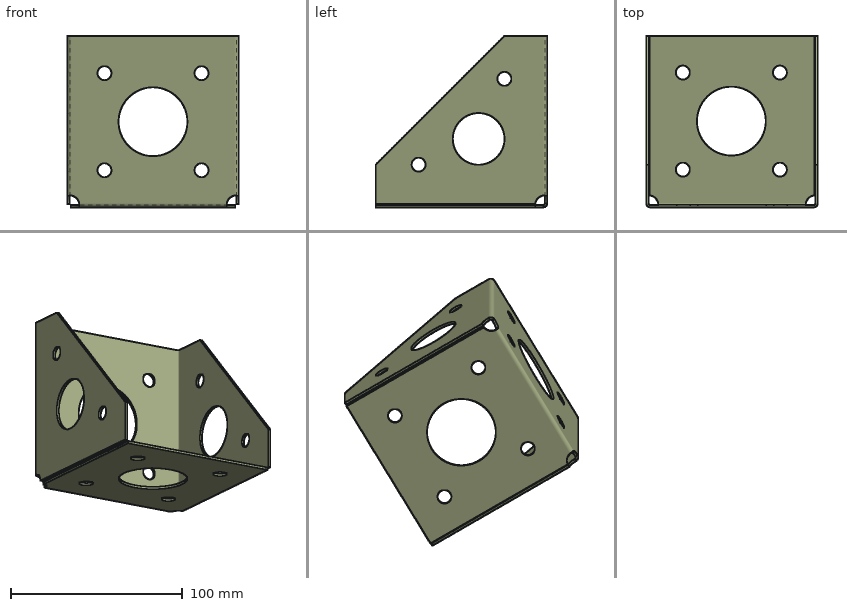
import cadquery as cq
import math

size = 100.0
thickness = 1.5
inner_bend_radius = 1.0
outer_bend_radius = thickness + inner_bend_radius
flange_gap = 0.5

relief_radius = 5.5
relief_center = thickness
relief_reach = relief_center + relief_radius

main_bore_diameter = 40.0
bolt_hole_diameter = 8.0
bolt_circle_diameter = 80.0
plate_center = size / 2
bottom_pattern_shift_x = -0.37
bottom_pattern_shift_y = 0.37

side_edge = 25.0
side_bore_diameter = 30.0
side_bore_center = 40.0
side_hole_near = 25.0
side_hole_far = 75.0


def cylinder(plane, center, diameter, start, length):
    """Cylinder standing on a plane offset by start along the plane's normal."""
    return (
        cq.Workplane(plane)
        .workplane(offset=start)
        .center(*center)
        .circle(diameter / 2)
        .extrude(length)
    )


def make_front_and_sides():
    """U-shaped channel bent along Z, open at the back, its sides sloped off."""
    outer = cq.Workplane("XY").box(size, size, size, centered=False)
    outer = outer.edges("|Z and <Y").fillet(outer_bend_radius)
    cavity = cq.Workplane("XY").box(size - 2 * thickness, size, size, centered=False)
    cavity = cavity.edges("|Z and <Y").fillet(inner_bend_radius)
    channel = outer.cut(cavity.translate((thickness, thickness, 0)))

    lower_front = cq.Workplane("XY").box(size, outer_bend_radius, outer_bend_radius, centered=False)
    under_sides = cq.Workplane("XY").box(size, size, thickness + flange_gap, centered=False)
    sloped_corner = (
        cq.Workplane("YZ")
        .moveTo(side_edge, size)
        .lineTo(size, side_edge)
        .lineTo(size, size)
        .close()
        .extrude(size)
    )
    return channel.cut(lower_front).cut(under_sides).cut(sloped_corner)


def make_bottom_flange():
    """Bottom flange with the bend along X that joins it to the front plate."""
    inset = thickness + flange_gap
    diagonal = math.sqrt(0.5)
    bend_outer_mid = outer_bend_radius * (1 - diagonal)
    bend_inner_mid = outer_bend_radius - inner_bend_radius * diagonal
    return (
        cq.Workplane("YZ")
        .workplane(offset=inset)
        .moveTo(0, outer_bend_radius)
        .threePointArc((bend_outer_mid, bend_outer_mid), (outer_bend_radius, 0))
        .lineTo(size, 0)
        .lineTo(size, thickness)
        .lineTo(outer_bend_radius, thickness)
        .threePointArc((bend_inner_mid, bend_inner_mid), (thickness, outer_bend_radius))
        .close()
        .extrude(size - 2 * inset)
    )


def make_corner_relief():
    """Material removed at the corner near the origin: three bend ends and three round notches."""
    center = (relief_center, relief_center)
    diameter = 2 * relief_radius
    bend = outer_bend_radius
    relief = cq.Workplane("XY").box(bend, bend, relief_reach, centered=False)
    relief = relief.union(cq.Workplane("XY").box(relief_reach, bend, bend, centered=False))
    relief = relief.union(cylinder("YZ", center, diameter, 0, thickness))
    relief = relief.union(cylinder("XZ", center, diameter, -thickness, thickness))
    return relief.union(cylinder("XY", center, diameter, 0, thickness))


def cut_corner_reliefs(body):
    relief = make_corner_relief()
    middle = (plate_center, 0, 0)
    return body.cut(relief).cut(relief.mirror("YZ", middle))


def cut_bolt_pattern(body, plane, center_u, center_v, start):
    """Main bore and four bolt holes through one square plate."""
    body = body.cut(cylinder(plane, (center_u, center_v), main_bore_diameter, start, thickness))
    offset = bolt_circle_diameter / 2 * math.sqrt(0.5)
    for u in (center_u - offset, center_u + offset):
        for v in (center_v - offset, center_v + offset):
            body = body.cut(cylinder(plane, (u, v), bolt_hole_diameter, start, thickness))
    return body


def cut_side_holes(body):
    """Bore and two bolt holes through both side flanges."""
    body = body.cut(cylinder("YZ", (side_bore_center, side_bore_center), side_bore_diameter, 0, size))
    for center in ((side_hole_near, side_hole_far), (side_hole_far, side_hole_near)):
        body = body.cut(cylinder("YZ", center, bolt_hole_diameter, 0, size))
    return body


bracket = make_front_and_sides().union(make_bottom_flange())
bracket = cut_corner_reliefs(bracket)
bracket = cut_bolt_pattern(bracket, "XZ", plate_center, plate_center, -thickness)
bracket = cut_bolt_pattern(
    bracket, "XY", plate_center + bottom_pattern_shift_x, plate_center + bottom_pattern_shift_y, 0
)
result = cut_side_holes(bracket)